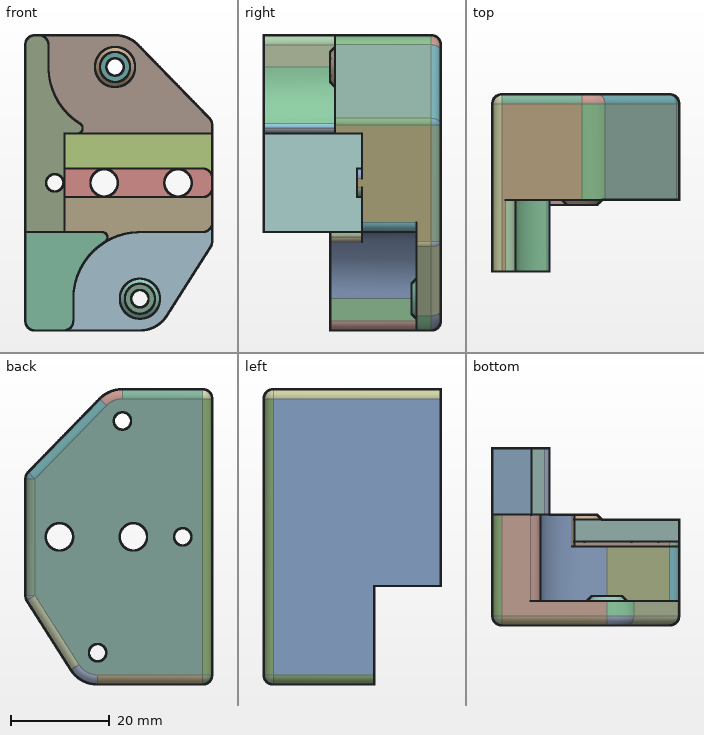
import cadquery as cq
import math

height = 60.0
width = 38.0
tower_depth = 36.0

plate_depth = 5.0
block_depth = 16.0
rib_height = 1.0
upper_body_depth = 21.5
leg_depth = 22.5

shelf_z = height / 3
pocket_top_z = 2 * height / 3
pocket_mid_z = (shelf_z + pocket_top_z) / 2
upper_bend_z = 42.55
lower_bend_z = 17.5

screw_edge = 6.5
upper_screw = (18.25, height - screw_edge)
lower_screw = (23.3, screw_edge)
screw_clearance = shelf_z - lower_screw[1]
screw_hole_diameter = 3.5
wall_tip_inset = 6.6
boss_radius = 4.1
boss_height = 1.0
boss_taper = 45

tower_width = 8.0
rib_width = 5.8
small_hole_x = 6.0
small_hole_diameter = 3.5
large_hole_diameter = 5.5
large_hole_xs = (16.0, 31.0)

edge_radius = 2.0
tip_radius = 1.0


def start_front(x, z):
    """Begin an outline in the XZ plane; extruding it goes toward -Y."""
    return cq.Workplane("XZ").moveTo(x, z)


def front_box(x_min, x_max, z_min, z_max, depth):
    """Box from the back face to a depth, bounded in X and Z."""
    box_width = x_max - x_min
    box_height = z_max - z_min
    box = cq.Workplane("XZ").rect(box_width, box_height, centered=False).extrude(depth)
    return box.translate((x_min, 0, z_min))


def around(center, radius, angle):
    """Point on a circle around an (x, z) center; the angle is in radians."""
    return (center[0] + radius * math.cos(angle), center[1] + radius * math.sin(angle))


def tangent_angle(corner, center, radius, side):
    """Angle of the point on a circle where a line from the corner touches it."""
    dx = corner[0] - center[0]
    dz = corner[1] - center[1]
    return math.atan2(dz, dx) + side * math.acos(radius / math.hypot(dx, dz))


def outer_envelope():
    """Full-depth outline, round about both screws, with a rounded back edge."""
    upper_bend = (width, upper_bend_z)
    lower_bend = (width, lower_bend_z)
    upper_angle = tangent_angle(upper_bend, upper_screw, screw_edge, 1)
    lower_angle = tangent_angle(lower_bend, lower_screw, screw_edge, -1)
    upper_mid_angle = (upper_angle + math.pi / 2) / 2
    lower_mid_angle = (lower_angle - math.pi / 2) / 2

    body = (
        start_front(0, 0)
        .lineTo(lower_screw[0], 0)
        .threePointArc(
            around(lower_screw, screw_edge, lower_mid_angle),
            around(lower_screw, screw_edge, lower_angle),
        )
        .lineTo(*lower_bend)
        .lineTo(*upper_bend)
        .lineTo(*around(upper_screw, screw_edge, upper_angle))
        .threePointArc(
            around(upper_screw, screw_edge, upper_mid_angle),
            (upper_screw[0], height),
        )
        .lineTo(0, height)
        .close()
        .extrude(tower_depth)
    )
    body = body.edges("|Y").edges("<X").fillet(edge_radius)
    body = body.edges("|Y").edges(">X").fillet(edge_radius)
    return body.faces(">Y").edges().fillet(edge_radius)


def end_wall(screw, inner_z, outer_z, depth):
    """Left-hand wall at one end, hollowed by the clearance circle around a screw."""
    outward = math.copysign(1, outer_z - inner_z)
    wall_x = screw[0] - screw_clearance
    tip_x = screw[0] - wall_tip_inset
    tip_angle = -outward * math.acos(-wall_tip_inset / screw_clearance)
    mid_angle = (tip_angle - outward * math.pi) / 2
    wall = (
        start_front(0, inner_z)
        .lineTo(tip_x, inner_z)
        .lineTo(*around(screw, screw_clearance, tip_angle))
        .threePointArc(around(screw, screw_clearance, mid_angle), (wall_x, screw[1]))
        .lineTo(wall_x, outer_z)
        .lineTo(0, outer_z)
        .close()
        .extrude(depth)
    )
    wall = wall.edges("|Y").edges(">X").fillet(tip_radius)
    outer_corner = (wall_x, -depth / 2, outer_z)
    return wall.edges(cq.NearestToPointSelector(outer_corner)).fillet(edge_radius)


def tower():
    """Tallest step: the left side above the shelf."""
    wall = end_wall(upper_screw, pocket_top_z, height, tower_depth)
    return wall.union(front_box(0, tower_width, shelf_z, pocket_top_z, tower_depth))


def block():
    """Pocket floor, with a web that sweeps down around the lower screw."""
    floor = front_box(0, width, shelf_z, pocket_top_z, block_depth)
    floor = floor.edges("|Y").edges(">X").edges("<Z").fillet(edge_radius)
    wall_x = lower_screw[0] - screw_clearance
    web = (
        start_front(0, lower_screw[1])
        .lineTo(wall_x, lower_screw[1])
        .threePointArc(
            around(lower_screw, screw_clearance, math.radians(135)),
            (lower_screw[0], shelf_z),
        )
        .lineTo(0, shelf_z)
        .close()
        .extrude(block_depth)
    )
    return floor.union(web)


def rib():
    """Raised strip along the middle of the pocket floor."""
    bottom_z = pocket_mid_z - rib_width / 2
    strip = front_box(0, width, bottom_z, bottom_z + rib_width, block_depth + rib_height)
    return strip.edges("|Y").edges(">X").fillet(edge_radius)


def boss(screw, base_depth):
    """Conical seat around a screw hole."""
    seat = cq.Workplane("XZ").circle(boss_radius).extrude(boss_height, taper=boss_taper)
    return seat.translate((screw[0], -base_depth, screw[1]))


def through_hole(x, z, diameter):
    """Cutter for a round hole through the whole depth."""
    return start_front(x, z).circle(diameter / 2).extrude(tower_depth)


levels = (
    front_box(0, width, 0, height, plate_depth)
    .union(front_box(0, width, pocket_top_z, height, upper_body_depth))
    .union(block())
    .union(rib())
    .union(end_wall(lower_screw, shelf_z, 0, leg_depth))
    .union(tower())
)
result = outer_envelope().intersect(levels)

result = result.union(boss(upper_screw, upper_body_depth)).union(boss(lower_screw, plate_depth))

for screw_x, screw_z in (upper_screw, lower_screw):
    result = result.cut(through_hole(screw_x, screw_z, screw_hole_diameter))
result = result.cut(through_hole(small_hole_x, pocket_mid_z, small_hole_diameter))
for hole_x in large_hole_xs:
    result = result.cut(through_hole(hole_x, pocket_mid_z, large_hole_diameter))